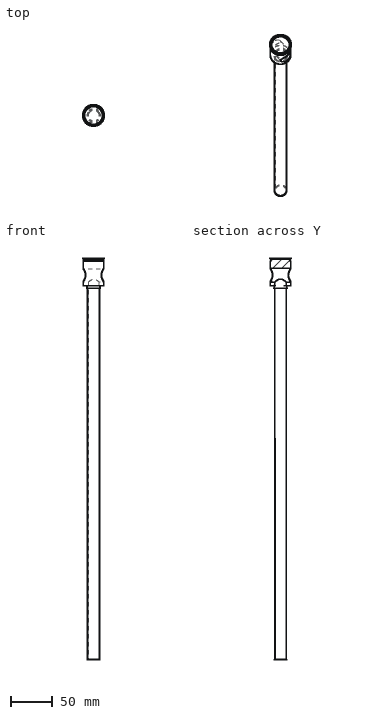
import cadquery as cq

total_length = 483.5
head_height = 33.5
head_bottom_z = total_length - head_height
collar_height = 3.0
collar_bottom_z = head_bottom_z - collar_height

cap_radius = 26.0 / 2
head_radius = 25.0 / 2
collar_radius = 16.0 / 2
tube_radius = 15.0 / 2

tube_wall = 1.0
bore_radius = tube_radius - tube_wall

head_chamfer = 0.25

groove_floor_radius = 11.75
groove_floor_height = 1.3
cap_rim_height = 0.25
groove_floor_top_z = total_length - cap_rim_height - (cap_radius - groove_floor_radius)
groove_floor_bottom_z = groove_floor_top_z - groove_floor_height
groove_bottom_z = groove_floor_bottom_z - (head_radius - groove_floor_radius)

recess_radius = 10.75
recess_depth = 1.25

cross_hole_radius = 16.0 / 2
cross_hole_z = total_length - 20.5


def make_body():
    """Tube, collar, head and cap turned as one solid about the Z axis."""
    profile = [
        (0, 0),
        (tube_radius, 0),
        (tube_radius, collar_bottom_z),
        (collar_radius, collar_bottom_z),
        (collar_radius, head_bottom_z),
        (head_radius - head_chamfer, head_bottom_z),
        (head_radius, head_bottom_z + head_chamfer),
        (head_radius, groove_bottom_z),
        (groove_floor_radius, groove_floor_bottom_z),
        (groove_floor_radius, groove_floor_top_z),
        (cap_radius, total_length - cap_rim_height),
        (cap_radius, total_length),
        (0, total_length),
    ]
    return cq.Workplane("XZ").polyline(profile).close().revolve(360, (0, 0, 0), (0, 1, 0))


def make_top_recess():
    """Disc removed from the top face, leaving a raised rim around it."""
    return (
        cq.Workplane("XY", origin=(0, 0, total_length - recess_depth))
        .circle(recess_radius)
        .extrude(recess_depth)
    )


def make_cross_hole():
    """Cylinder along X that passes through both sides of the head."""
    return (
        cq.Workplane("YZ", origin=(0, 0, cross_hole_z))
        .circle(cross_hole_radius)
        .extrude(cap_radius, both=True)
    )


def make_bore():
    """Cylinder from the free end of the tube up to the axis of the cross hole."""
    return cq.Workplane("XY").circle(bore_radius).extrude(cross_hole_z)


result = make_body().cut(make_top_recess()).cut(make_cross_hole()).cut(make_bore())